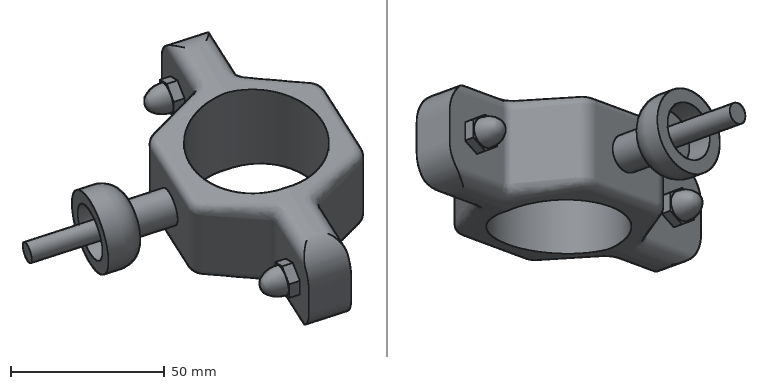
import cadquery as cq
import math

BODY_LENGTH = 116.84
BODY_HEIGHT = 35.98
BORE_RADIUS = 23.7
HEX_APOTHEM = 31.2
HEX_CORNER_RADIUS = 6.1
EAR_ROOT_RADIUS = 2.9
EAR_HALF_THICKNESS = 7.62
EAR_CORNER_RADIUS = 12.7
ROOF_ANGLE = 3.6
WALL_TOP = 13.14

BOLT_X = BODY_LENGTH / 2 - EAR_CORNER_RADIUS
BOLT_HEAD_RADIUS = 7.35
BOLT_HEAD_HEIGHT = 3.55
NUT_ACROSS_FLATS = 11.1
NUT_HEIGHT = 3.86
COLLAR_RADIUS = 5.2
COLLAR_HEIGHT = 0.6
DOME_HEIGHT = 6.4
TIP_RADIUS = 2.4
TIP_HEIGHT = 0.75

STEM_RADIUS = 6.5
CUP_RADIUS = 14.55
CUP_START = 45.3
CUP_HEIGHT = 14.35
CUP_ROUND_RADIUS = CUP_RADIUS - STEM_RADIUS
CUP_BORE_RADIUS = 9.8
CUP_BORE_DEPTH = 9.3
ROD_RADIUS = 3.65
OVERALL_DEPTH = 113.39
ROD_END = OVERALL_DEPTH - HEX_APOTHEM

HEX_HALF_ANGLE = math.pi / 6
HALF_LENGTH = BODY_LENGTH / 2
HALF_HEIGHT = BODY_HEIGHT / 2
ROOF_SLOPE = math.tan(math.radians(ROOF_ANGLE))


def roof_height(y):
    """Height of the sloping top face above the mid plane."""
    return HALF_HEIGHT - ROOF_SLOPE * abs(y)


def rim_radius(y):
    """Fillet radius that reaches from the roof down to the top of the straight wall."""
    half_corner_angle = math.radians(90 + ROOF_ANGLE) / 2
    return (roof_height(y) - WALL_TOP) * math.tan(half_corner_angle)


def round_rims(solid):
    """Round the top and bottom rims with a radius that shrinks as the roof falls."""
    builder = cq.occ_impl.shapes.BRepFilletAPI_MakeFillet(solid.wrapped)
    flat_rims = cq.Workplane(obj=solid).faces(">Y").edges("|X").vals()
    for contour, rim in enumerate(flat_rims, start=1):
        builder.Add(rim.wrapped)
        for position in range(1, builder.NbEdges(contour) + 1):
            edge = cq.Edge(builder.Edge(contour, position))
            for vertex in edge.Vertices():
                builder.SetRadius(rim_radius(vertex.Y), contour, vertex.wrapped)
    return cq.Workplane(obj=cq.Shape.cast(builder.Shape()))


def make_clamp_half():
    """Half of the clamp, from the ridge to the +Y flat, without the bore."""
    hex_corner_x = HEX_APOTHEM * math.tan(HEX_HALF_ANGLE)
    ear_root_x = 2 * hex_corner_x - EAR_HALF_THICKNESS * math.tan(HEX_HALF_ANGLE)
    outline = [
        (-HALF_LENGTH, 0),
        (-HALF_LENGTH, EAR_HALF_THICKNESS),
        (-ear_root_x, EAR_HALF_THICKNESS),
        (-hex_corner_x, HEX_APOTHEM),
        (hex_corner_x, HEX_APOTHEM),
        (ear_root_x, EAR_HALF_THICKNESS),
        (HALF_LENGTH, EAR_HALF_THICKNESS),
        (HALF_LENGTH, 0),
    ]
    half = cq.Workplane("XY").polyline(outline).close().extrude(HALF_HEIGHT, both=True)
    half = half.edges("|Z").edges(">Y").fillet(HEX_CORNER_RADIUS)
    for side in (-1, 1):
        root = cq.selectors.NearestToPointSelector((side * ear_root_x, EAR_HALF_THICKNESS, 0))
        half = half.edges("|Z").edges(root).fillet(EAR_ROOT_RADIUS)

    edge_height = roof_height(HEX_APOTHEM)
    roof_section = [
        (0, -HALF_HEIGHT),
        (0, HALF_HEIGHT),
        (HEX_APOTHEM, edge_height),
        (HEX_APOTHEM, -edge_height),
    ]
    envelope = cq.Workplane("YZ").polyline(roof_section).close().extrude(HALF_LENGTH, both=True)
    return round_rims(half.intersect(envelope).val())


def make_clamp():
    half = make_clamp_half()
    clamp = half.union(half.mirror("XZ"))
    rounded_ends = (
        cq.Workplane("XZ")
        .rect(BODY_LENGTH, BODY_HEIGHT)
        .extrude(HEX_APOTHEM, both=True)
        .edges("|Y")
        .fillet(EAR_CORNER_RADIUS)
    )
    bore = cq.Workplane("XY", origin=(0, 0, -HALF_HEIGHT)).circle(BORE_RADIUS).extrude(BODY_HEIGHT)
    return clamp.intersect(rounded_ends).cut(bore)


def make_bolt_head():
    """Shallow spherical head on the +Y face of an ear, centred on x = 0."""
    apex = EAR_HALF_THICKNESS + BOLT_HEAD_HEIGHT
    sphere_radius = (BOLT_HEAD_RADIUS**2 + BOLT_HEAD_HEIGHT**2) / (2 * BOLT_HEAD_HEIGHT)
    return (
        cq.Workplane("XY")
        .moveTo(0, EAR_HALF_THICKNESS)
        .lineTo(BOLT_HEAD_RADIUS, EAR_HALF_THICKNESS)
        .radiusArc((0, apex), -sphere_radius)
        .close()
        .revolve(360, (0, 0), (0, 1))
    )


def make_acorn_nut():
    """Domed hexagon nut on the -Y face of an ear, centred on x = 0."""
    corner_diameter = NUT_ACROSS_FLATS / math.cos(HEX_HALF_ANGLE)
    hexagon = (
        cq.Workplane("XZ", origin=(0, -EAR_HALF_THICKNESS, 0))
        .transformed(rotate=(0, 0, 90))
        .polygon(6, corner_diameter)
        .extrude(NUT_HEIGHT)
    )
    collar_start = -EAR_HALF_THICKNESS - NUT_HEIGHT
    dome_start = collar_start - COLLAR_HEIGHT
    tip_start = dome_start - DOME_HEIGHT
    dome_narrowing = COLLAR_RADIUS - TIP_RADIUS
    dome_arc_radius = (DOME_HEIGHT**2 + dome_narrowing**2) / (2 * dome_narrowing)
    tip_arc_radius = (TIP_RADIUS**2 + TIP_HEIGHT**2) / (2 * TIP_HEIGHT)
    dome = (
        cq.Workplane("XY")
        .moveTo(0, collar_start)
        .lineTo(COLLAR_RADIUS, collar_start)
        .lineTo(COLLAR_RADIUS, dome_start)
        .radiusArc((TIP_RADIUS, tip_start), dome_arc_radius)
        .radiusArc((0, tip_start - TIP_HEIGHT), tip_arc_radius)
        .close()
        .revolve(360, (0, 0), (0, 1))
    )
    return hexagon.union(dome)


def make_rod_along_y(radius, start, end):
    """Cylinder on the Y axis between two distances on the -Y side."""
    return cq.Workplane("XZ", origin=(0, -start, 0)).circle(radius).extrude(end - start)


def make_hanger():
    """Stem, rounded cover cup with its open bore, and the rod through it."""
    cup_end = CUP_START + CUP_HEIGHT
    bore_floor = cup_end - CUP_BORE_DEPTH
    stem_start = (BORE_RADIUS + HEX_APOTHEM) / 2
    round_end = CUP_START + CUP_ROUND_RADIUS
    cup = (
        cq.Workplane("XY")
        .moveTo(0, -CUP_START)
        .lineTo(STEM_RADIUS, -CUP_START)
        .radiusArc((CUP_RADIUS, -round_end), CUP_ROUND_RADIUS)
        .lineTo(CUP_RADIUS, -cup_end)
        .lineTo(CUP_BORE_RADIUS, -cup_end)
        .lineTo(CUP_BORE_RADIUS, -bore_floor)
        .lineTo(0, -bore_floor)
        .close()
        .revolve(360, (0, 0), (0, 1))
    )
    stem = make_rod_along_y(STEM_RADIUS, stem_start, CUP_START)
    rod = make_rod_along_y(ROD_RADIUS, bore_floor, ROD_END)
    return cup.union(stem).union(rod)


result = make_clamp().union(make_hanger())
fastener = make_bolt_head().union(make_acorn_nut())
for bolt_x in (-BOLT_X, BOLT_X):
    result = result.union(fastener.translate((bolt_x, 0, 0)))